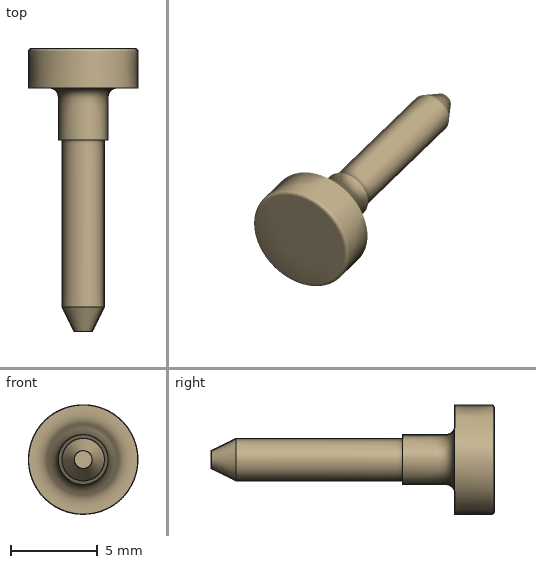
import cadquery as cq

total_length = 16.3
head_diameter = 6.3
head_thickness = 2.28
head_edge_round = 0.2
collar_diameter = 2.87
collar_length = 3.0
root_fillet = 0.5
shank_diameter = 2.45
tip_diameter = 1.03
tip_length = 1.43

head_underside = total_length - head_thickness
collar_end = head_underside - collar_length


def cylinder_along_y(diameter, start, end):
    """Solid cylinder on the Y axis between two positions."""
    base = cq.Workplane("XZ", origin=(0, start, 0)).circle(diameter / 2)
    return base.extrude(start - end)


def tapered_tip():
    """Truncated cone leading into the shank."""
    return (
        cq.Workplane("XY")
        .lineTo(tip_diameter / 2, 0)
        .lineTo(shank_diameter / 2, tip_length)
        .lineTo(0, tip_length)
        .close()
        .revolve(360, (0, 0, 0), (0, 1, 0))
    )


head = cylinder_along_y(head_diameter, head_underside, total_length)
head = head.faces(">Y").edges().fillet(head_edge_round)
collar = cylinder_along_y(collar_diameter, collar_end, head_underside)

headed_collar = head.union(collar)
root_corner = cq.selectors.RadiusNthSelector(0)
headed_collar = headed_collar.faces("<Y[1]").edges(root_corner).fillet(root_fillet)

shank = cylinder_along_y(shank_diameter, tip_length, collar_end)
result = headed_collar.union(shank).union(tapered_tip())